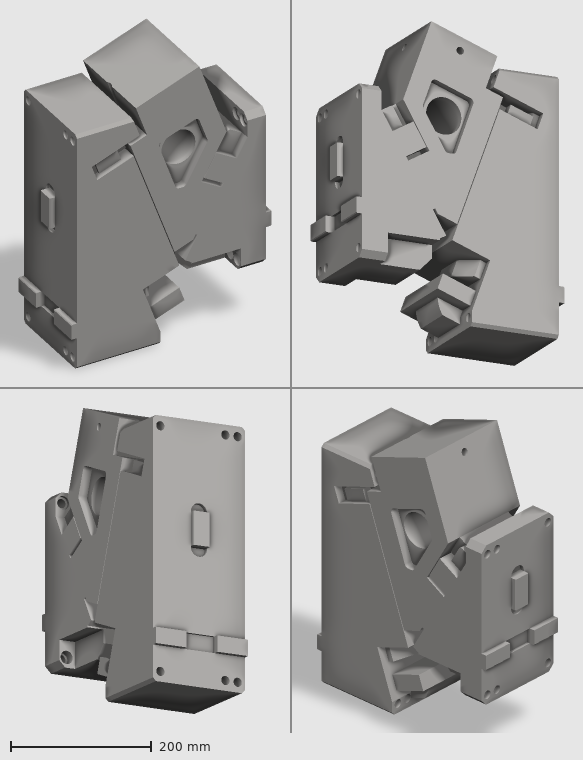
import cadquery as cq
import math

WIDTH = 150.0
HALF = WIDTH / 2
TOTAL_DEPTH = 328.0
TOTAL_HEIGHT = 444.5
CLEARANCE = 1.5

LUG_REACH = 9.0
LUG_WIDTH = 49.8
LUG_HEIGHT = 24.5
LUG_GROOVE_DEPTH = 5.0
KEY_WIDTH = 26.5
KEY_LENGTH = 50.0
KEY_SEAT_LENGTH = 78.0
KEY_SEAT_DEPTH = 7.0
MOUNT_CHAMFER = 1.5

SCREW_COLUMNS = (-63.0, 43.0, 63.0)
SCREW_DIAMETER = 13.5
SCREW_EDGE_DISTANCE = 15.0
SCREW_HEAD_DIAMETER = 19.5
SCREW_HEAD_DEPTH = 5.0

HEAD_INSET = 13.8
NECK_INSET = 24.5

FRONT_HEIGHT = 390.0
FRONT_FOOT_DEPTH = 137.0
FRONT_CORNER_CHAMFER = 5.0
FRONT_KEY_Z = 230.0
FRONT_LUG_Z = 65.5

SEAM_TILT = 20
SEAM_Y = 168.0
SEAM_Z = 122.5
STEP_DEPTH = 63.5
SLOT_FLOOR = 218.5
SLOT_CEILING = 245.0
LIP_REACH = 20.0

CATCH_STRAIGHT = 9.5
CATCH_TAPER_LENGTH = 21.0
CATCH_TAPER_WIDTH = 36.0
CATCH_HEIGHT = 27.0

LATCH_TIP = -8.5
LATCH_TOP = -46.5
LATCH_BOTTOM = -71.5
SUPPORT_WIDTH = 71.0
SUPPORT_ROOT = -84.5
SUPPORT_BOTTOM = -92.5
SUPPORT_TOP_TIP = -21.8
SUPPORT_MIDDLE = (-30.5, -85.8)
SUPPORT_BOTTOM_TIP = -37.8

BLOCK_BOTTOM = 26.0
CAP_BOTTOM = 237.8
CAP_FRONT = 30.0
BLOCK_REAR = 141.0
REAR_CORNER = 161.0
FRONT_TONGUE_NECK = 16.5
FRONT_TONGUE_INSET = 9.5

REAR_SEAM_TILT = 30
REAR_TONGUE_REACH = 38.0
REAR_TONGUE_HEIGHT = 34.5
REAR_TONGUE_NECK = 12.5
REAR_TONGUE_FILLET = 5.5
LEDGE = -75.5
SHOULDER = -82.0
RIDGE_NECK = 10.0
HEEL_TOP = -160.0
HEEL_RELIEF = 4.0

POCKET_DEPTH = 14.0
POCKET_TOP = 212.5
POCKET_FRONT = 40.0
POCKET_REAR = 110.0
POCKET_REAR_CORNER = 165.8
POCKET_FLAT_Z = 251.5
POCKET_FLAT_FRONT_Y = 163.0
POCKET_FLAT_REAR_Y = 177.8
POCKET_FILLET = 6.5
AXLE_DIAMETER = 55.5
AXLE_CENTRE = (70.5, 174.5)
DUCT_DIAMETER = 11.5
DUCT_CENTRE = (85.5, 271.0)
GROOVE_RADIUS = 11.5
GROOVE_DEPTH = 2.0

REAR_WALL_Y = TOTAL_DEPTH - 2 * LUG_REACH
REAR_TOP_Z = 339.5
REAR_BOTTOM_Z = 80.5
REAR_CORNER_CHAMFER = 9.8
REAR_KEY_Z = 240.5
REAR_LUG_Z = 155.0
REAR_NOSE = -201.8
REAR_FRONT_Y = 187.5
REAR_FRONT_CHAMFER = 19.5
CORNER_CUT_HEIGHT = 39.5
CORNER_CUT_REAR_Y = 269.5
CORNER_CUT_WIDTHS = ((-1, 25.8), (1, 45.8))


def rotated(point, angle):
    """Turn a (y, z) pair counter-clockwise by an angle in degrees."""
    turn = math.radians(angle)
    y = point[0] * math.cos(turn) - point[1] * math.sin(turn)
    z = point[0] * math.sin(turn) + point[1] * math.cos(turn)
    return y, z


def seam(across, along):
    """(y, z) of a point given relative to the front seam."""
    y, z = rotated((across, along), SEAM_TILT)
    return SEAM_Y + y, SEAM_Z + z


def rear_seam(out, up):
    """(y, z) of a point given relative to the rear seam."""
    corner_y, corner_z = seam(BLOCK_REAR, REAR_CORNER)
    y, z = rotated((out, up), -REAR_SEAM_TILT)
    return corner_y + y, corner_z + z


def slab(points, width):
    """Prism with a (y, z) outline, centred on x = 0."""
    return cq.Workplane("YZ").polyline(points).close().extrude(width / 2, both=True)


def bar(frame, first, second, width):
    """Rectangular bar between two opposite corners given in a seam frame."""
    corners = [first, (second[0], first[1]), second, (first[0], second[1])]
    return slab([frame(*corner) for corner in corners], width)


def seam_plane(along):
    """Plane square to the front seam: local x is X, local y points across."""
    y, z = seam(0, along)
    normal_y, normal_z = rotated((0, 1), SEAM_TILT)
    return cq.Workplane(cq.Plane(origin=(0, y, z), xDir=(1, 0, 0), normal=(0, normal_y, normal_z)))


def box_between(low, high):
    """Box from its lowest corner to its highest corner."""
    size = [b - a for a, b in zip(low, high)]
    return cq.Workplane("XY").box(*size, centered=False).translate(low)


def add_mounts(housing, wall_y, outward, key_z, lug_z):
    """Key in its seat, and two lugs with a groove between, on an outer wall."""
    inside = wall_y - outward * KEY_SEAT_DEPTH
    tip = wall_y + outward * LUG_REACH
    seat = (
        cq.Workplane("XZ", origin=(0, wall_y, key_z))
        .slot2D(KEY_SEAT_LENGTH, KEY_WIDTH, 90)
        .extrude(KEY_SEAT_DEPTH, both=True)
    )
    key = box_between(
        (-KEY_WIDTH / 2, min(inside, tip), key_z - KEY_LENGTH / 2),
        (KEY_WIDTH / 2, max(inside, tip), key_z + KEY_LENGTH / 2),
    )
    tip_face, lug_edge = (">Y", "<Z") if outward > 0 else ("<Y", ">Z")
    key = key.faces(tip_face).edges("|Z").chamfer(MOUNT_CHAMFER)
    groove = cq.Workplane("XY").box(
        WIDTH - 2 * LUG_WIDTH, 2 * LUG_GROOVE_DEPTH, LUG_HEIGHT
    ).translate((0, wall_y, lug_z))
    housing = housing.cut(seat).union(key).cut(groove)
    for side in (-1, 1):
        lug = cq.Workplane("XY").box(LUG_WIDTH, 2 * LUG_REACH, LUG_HEIGHT)
        lug = lug.faces(tip_face).edges(lug_edge).chamfer(MOUNT_CHAMFER)
        housing = housing.union(lug.translate((side * (HALF - LUG_WIDTH / 2), wall_y, lug_z)))
    return housing


def screw_rows(bottom_z, top_z):
    """Heights of the two rows of screw holes."""
    return bottom_z + SCREW_EDGE_DISTANCE, top_z - SCREW_EDGE_DISTANCE


def y_cylinders(diameter, z, start_y, end_y):
    """One cylinder along Y in each screw column."""
    return (
        cq.Workplane("XZ", origin=(0, end_y, 0))
        .pushPoints([(x, z) for x in SCREW_COLUMNS])
        .circle(diameter / 2)
        .extrude(end_y - start_y)
    )


def catch(bottom, top):
    """Catch tapering towards the rear, standing on the step wall."""
    root = HALF - HEAD_INSET
    shoulder = CATCH_STRAIGHT - STEP_DEPTH
    tip = shoulder + CATCH_TAPER_LENGTH
    outline = [
        (-root, -STEP_DEPTH), (root, -STEP_DEPTH), (root, shoulder),
        (root - CATCH_TAPER_WIDTH, tip), (CATCH_TAPER_WIDTH - root, tip), (-root, shoulder),
    ]
    return seam_plane(bottom).polyline(outline).close().extrude(top - bottom)


def front_tongue():
    """Undercut tongue of the block lying on the slot floor."""
    tip = CATCH_STRAIGHT - STEP_DEPTH
    neck = bar(seam, (CLEARANCE, SLOT_FLOOR), (-FRONT_TONGUE_NECK, CAP_BOTTOM), WIDTH - 2 * NECK_INSET)
    head = bar(seam, (-FRONT_TONGUE_NECK, SLOT_FLOOR), (tip, CAP_BOTTOM), WIDTH - 2 * FRONT_TONGUE_INSET)
    return neck.union(head)


def make_front_housing():
    tilt = math.radians(SEAM_TILT)
    step_foot = (SEAM_Y - STEP_DEPTH * math.cos(tilt) - FRONT_FOOT_DEPTH) / math.sin(tilt)
    lip_top = (FRONT_HEIGHT - SEAM_Z - LIP_REACH * math.sin(tilt)) / math.cos(tilt)
    body = slab(
        [
            (0, 0),
            (FRONT_FOOT_DEPTH, 0),
            seam(-STEP_DEPTH, step_foot),
            seam(-STEP_DEPTH, 0),
            seam(0, 0),
            seam(0, SLOT_FLOOR),
            seam(-STEP_DEPTH, SLOT_FLOOR),
            seam(-STEP_DEPTH, SLOT_CEILING),
            seam(LIP_REACH, SLOT_CEILING),
            seam(LIP_REACH, lip_top),
            (0, FRONT_HEIGHT),
        ],
        WIDTH,
    )
    for face in (">Z", "<Z"):
        body = body.faces(face).edges("<X or >X").chamfer(FRONT_CORNER_CHAMFER)
    body = add_mounts(body, 0, -1, FRONT_KEY_Z, FRONT_LUG_Z)
    for z in screw_rows(0, FRONT_HEIGHT):
        body = body.cut(y_cylinders(SCREW_DIAMETER, z, 0, FRONT_FOOT_DEPTH))

    body = body.union(catch(SLOT_FLOOR, SLOT_CEILING).cut(front_tongue()))
    body = body.union(catch(-CATCH_HEIGHT, 0))

    latch = bar(seam, (-STEP_DEPTH, LATCH_BOTTOM), (LATCH_TIP, LATCH_TOP), WIDTH - 2 * HEAD_INSET)
    support = (
        cq.Workplane("YZ")
        .moveTo(*seam(SUPPORT_TOP_TIP, LATCH_BOTTOM))
        .threePointArc(seam(*SUPPORT_MIDDLE), seam(SUPPORT_BOTTOM_TIP, SUPPORT_BOTTOM))
        .lineTo(*seam(SUPPORT_ROOT, SUPPORT_BOTTOM))
        .lineTo(*seam(SUPPORT_ROOT, LATCH_BOTTOM))
        .close()
        .extrude(SUPPORT_WIDTH / 2, both=True)
    )
    return body.union(latch).union(support)


def rear_tongue():
    """Undercut tongue of the block hooked into the rear housing."""
    head = bar(
        rear_seam, (REAR_TONGUE_NECK, -REAR_TONGUE_HEIGHT), (REAR_TONGUE_REACH, 0), WIDTH - 2 * HEAD_INSET
    )
    edge_y, edge_z = rear_seam(REAR_TONGUE_NECK, 0)
    head = head.edges(cq.NearestToPointSelector((0, edge_y, edge_z))).fillet(REAR_TONGUE_FILLET)
    neck_end = REAR_TONGUE_NECK + REAR_TONGUE_FILLET
    neck = bar(rear_seam, (0, -REAR_TONGUE_HEIGHT), (neck_end, 0), WIDTH - 2 * NECK_INSET)
    return head.union(neck)


def shoulder_ridge():
    """Undercut ridge on the block's shoulder, reaching up to the ledge."""
    neck = bar(rear_seam, (0, SHOULDER), (RIDGE_NECK, LEDGE), WIDTH - 2 * NECK_INSET)
    head = bar(rear_seam, (RIDGE_NECK, SHOULDER), (REAR_TONGUE_REACH, LEDGE), WIDTH - 2 * HEAD_INSET)
    return neck.union(head)


def cut_side_pockets(block):
    """Rounded pocket in each side, joined by the axle bore."""
    outline = [
        seam(POCKET_REAR, POCKET_TOP),
        seam(POCKET_FRONT, POCKET_TOP),
        (POCKET_FLAT_FRONT_Y, POCKET_FLAT_Z),
        (POCKET_FLAT_REAR_Y, POCKET_FLAT_Z),
        seam(POCKET_REAR, POCKET_REAR_CORNER),
    ]
    pocket = slab(outline, 2 * POCKET_DEPTH).edges("|X").fillet(POCKET_FILLET)
    for side in (-1, 1):
        block = block.cut(pocket.translate((side * HALF, 0, 0)))
    axle = (
        cq.Workplane("YZ")
        .center(*seam(*AXLE_CENTRE))
        .circle(AXLE_DIAMETER / 2)
        .extrude(HALF, both=True)
    )
    return block.cut(axle)


def cut_duct(block):
    """Mitred duct from the left side to the middle and out at the rear face."""
    bend_y, bend_z = seam(*DUCT_CENTRE)
    exit_y, exit_z = seam(BLOCK_REAR, DUCT_CENTRE[1])
    path = cq.Workplane("XY").polyline(
        [(-HALF, bend_y, bend_z), (0, bend_y, bend_z), (0, exit_y, exit_z)]
    )
    duct = (
        cq.Workplane("YZ", origin=(-HALF, bend_y, bend_z))
        .circle(DUCT_DIAMETER / 2)
        .sweep(path, transition="right")
    )
    return block.cut(duct)


def make_swinging_block():
    tilt = math.radians(SEAM_TILT)
    between = math.radians(SEAM_TILT + REAR_SEAM_TILT)
    cap_top = (TOTAL_HEIGHT - SEAM_Z - BLOCK_REAR * math.sin(tilt)) / math.cos(tilt)
    heel_out = REAR_TONGUE_REACH - HEEL_RELIEF
    heel_up = (BLOCK_BOTTOM - REAR_CORNER + heel_out * math.sin(between)) / math.cos(between)
    block = slab(
        [
            seam(CLEARANCE, BLOCK_BOTTOM),
            seam(CLEARANCE, CAP_BOTTOM),
            seam(CAP_FRONT, CAP_BOTTOM),
            seam(CAP_FRONT, cap_top),
            seam(BLOCK_REAR, cap_top),
            rear_seam(0, 0),
            rear_seam(0, SHOULDER),
            rear_seam(REAR_TONGUE_REACH, SHOULDER),
            rear_seam(REAR_TONGUE_REACH, HEEL_TOP),
            rear_seam(heel_out, HEEL_TOP),
            rear_seam(heel_out, heel_up),
        ],
        WIDTH,
    )
    block = block.union(front_tongue()).union(rear_tongue()).union(shoulder_ridge())
    block = cut_duct(cut_side_pockets(block))

    groove = (
        seam_plane(CAP_BOTTOM)
        .center(0, CAP_FRONT + GROOVE_DEPTH - GROOVE_RADIUS)
        .circle(GROOVE_RADIUS)
        .extrude(cap_top - CAP_BOTTOM)
    )
    return block.cut(groove)


def make_rear_housing():
    tongue_room = REAR_TONGUE_REACH + CLEARANCE
    wall_front_y, wall_foot_z = rear_seam(tongue_room, 0)
    nose_slope = math.tan(math.radians(REAR_SEAM_TILT))
    nose_y, nose_z = rear_seam(REAR_TONGUE_REACH, REAR_NOSE)
    front_top_z = nose_z - (REAR_FRONT_Y - nose_y) * nose_slope
    body = slab(
        [
            (REAR_WALL_Y, REAR_BOTTOM_Z),
            (REAR_WALL_Y, REAR_TOP_Z),
            (wall_front_y, REAR_TOP_Z),
            (wall_front_y, wall_foot_z),
            rear_seam(tongue_room, -REAR_TONGUE_HEIGHT),
            rear_seam(CLEARANCE, -REAR_TONGUE_HEIGHT),
            rear_seam(CLEARANCE, LEDGE),
            rear_seam(REAR_TONGUE_REACH, LEDGE),
            (nose_y, nose_z),
            (REAR_FRONT_Y, front_top_z),
            (REAR_FRONT_Y, REAR_BOTTOM_Z + REAR_FRONT_CHAMFER),
            (REAR_FRONT_Y + REAR_FRONT_CHAMFER, REAR_BOTTOM_Z),
        ],
        WIDTH,
    )
    for face in (">Z", "<Z"):
        body = body.faces(face).edges("<X or >X").chamfer(REAR_CORNER_CHAMFER)
    body = add_mounts(body, REAR_WALL_Y, 1, REAR_KEY_Z, REAR_LUG_Z)

    for side, cut_width in CORNER_CUT_WIDTHS:
        corner = cq.Workplane("XY").box(
            2 * cut_width, CORNER_CUT_REAR_Y - REAR_FRONT_Y, CORNER_CUT_HEIGHT, centered=(True, False, False)
        )
        body = body.cut(corner.translate((side * HALF, REAR_FRONT_Y, REAR_BOTTOM_Z)))

    head_seat_y = wall_front_y + SCREW_HEAD_DEPTH
    for z, start_y in zip(screw_rows(REAR_BOTTOM_Z, REAR_TOP_Z), (CORNER_CUT_REAR_Y, wall_front_y)):
        body = body.cut(y_cylinders(SCREW_DIAMETER, z, start_y, REAR_WALL_Y))
        body = body.cut(y_cylinders(SCREW_HEAD_DIAMETER, z, start_y, head_seat_y))
    return body


front_housing = make_front_housing()
swinging_block = make_swinging_block()
rear_housing = make_rear_housing()

result = cq.Compound.makeCompound(
    [front_housing.solids().val(), swinging_block.solids().val(), rear_housing.solids().val()]
)